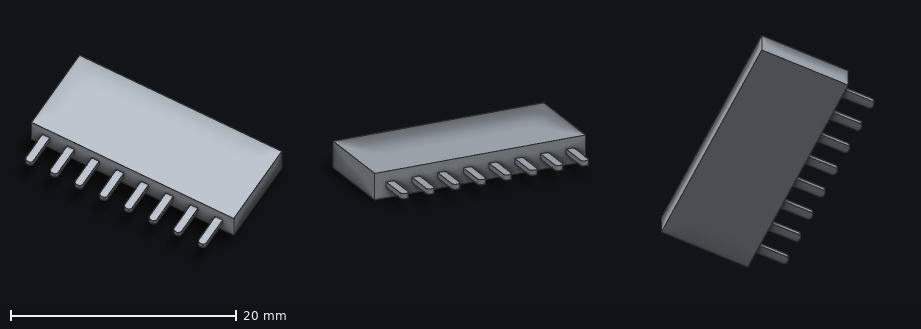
import cadquery as cq

pin_count = 8
pin_pitch = 2.55
housing_length = 20.82
housing_depth = 8.5
housing_height = pin_pitch

pin_length = 3.2
pin_width = 0.77
pin_thickness = 0.5
pin_tip_radius = 0.33


def make_housing():
    """Block centred on X and Z, with its front face at Y = 0."""
    return cq.Workplane("XY").box(
        housing_length, housing_depth, housing_height, centered=(True, False, True)
    )


def make_pin(x_center):
    """Flat pin pointing toward -Y, with both corners of its tip rounded."""
    pin = cq.Workplane("XY").box(
        pin_width, pin_length, pin_thickness, centered=(True, False, True)
    )
    pin = pin.translate((x_center, -pin_length, 0))
    return pin.faces("<Y").edges("|Z").fillet(pin_tip_radius)


result = make_housing()
for index in range(pin_count):
    x_center = (index - (pin_count - 1) / 2) * pin_pitch
    result = result.union(make_pin(x_center))